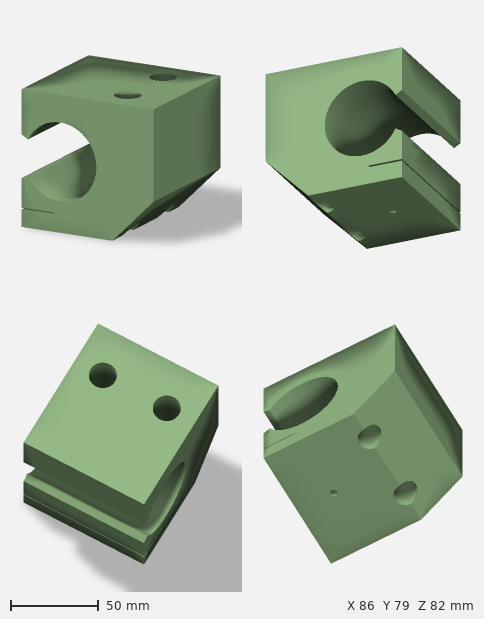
import cadquery as cq
import math

length = 86.0
width = 79.0
height = 82.0
corner_chamfer = 27.0

bore_diameter = 47.0
bore_x = 25.1
bore_z = 42.05

mouth_half_height = 12.9
flank_angle = 30.0

slit_depth = 21.0
slit_thickness = 1.0
slit_z = 10.9

mount_x = 59.0
mount_spacing = 42.0
mount_diameter = 13.5
counterbore_diameter = 16.0
counterbore_depth = height / 2

drain_diameter = 4.0
drain_x = 24.0


def make_block():
    """Rectangular block with the lower corner at maximum X cut off."""
    block = cq.Workplane("XY").box(length, width, height, centered=False)
    return block.edges(">X and <Z").chamfer(corner_chamfer)


def make_bore():
    """Cylinder through the full width."""
    bore = cq.Workplane("XZ").center(bore_x, bore_z).circle(bore_diameter / 2)
    return bore.extrude(-width)


def make_mouth():
    """Tapered opening that joins the X = 0 face to the bore."""
    inner_half_height = mouth_half_height - bore_x / 2 * math.tan(math.radians(flank_angle))
    mouth = cq.Workplane("XZ").polyline([
        (0, bore_z - mouth_half_height),
        (bore_x / 2, bore_z - inner_half_height),
        (bore_x / 2, bore_z + inner_half_height),
        (0, bore_z + mouth_half_height),
    ])
    return mouth.close().extrude(-width)


def make_slit():
    """Thin slit across the full width."""
    slit = cq.Workplane("XY").box(slit_depth, width, slit_thickness, centered=(False, False, True))
    return slit.translate((0, 0, slit_z))


def make_mounting_hole(y):
    """Through hole with a wider upper length."""
    axis = cq.Workplane("XY").center(mount_x, y)
    through = axis.circle(mount_diameter / 2).extrude(height)
    counterbore = axis.workplane(offset=height - counterbore_depth).circle(counterbore_diameter / 2)
    return through.union(counterbore.extrude(counterbore_depth))


def make_drain():
    """Small vertical hole slightly off the bore axis, at the middle of the width."""
    return cq.Workplane("XY").center(drain_x, width / 2).circle(drain_diameter / 2).extrude(bore_z)


result = make_block().cut(make_bore()).cut(make_mouth()).cut(make_slit()).cut(make_drain())
for side in (-1, 1):
    result = result.cut(make_mounting_hole(width / 2 + side * mount_spacing / 2))